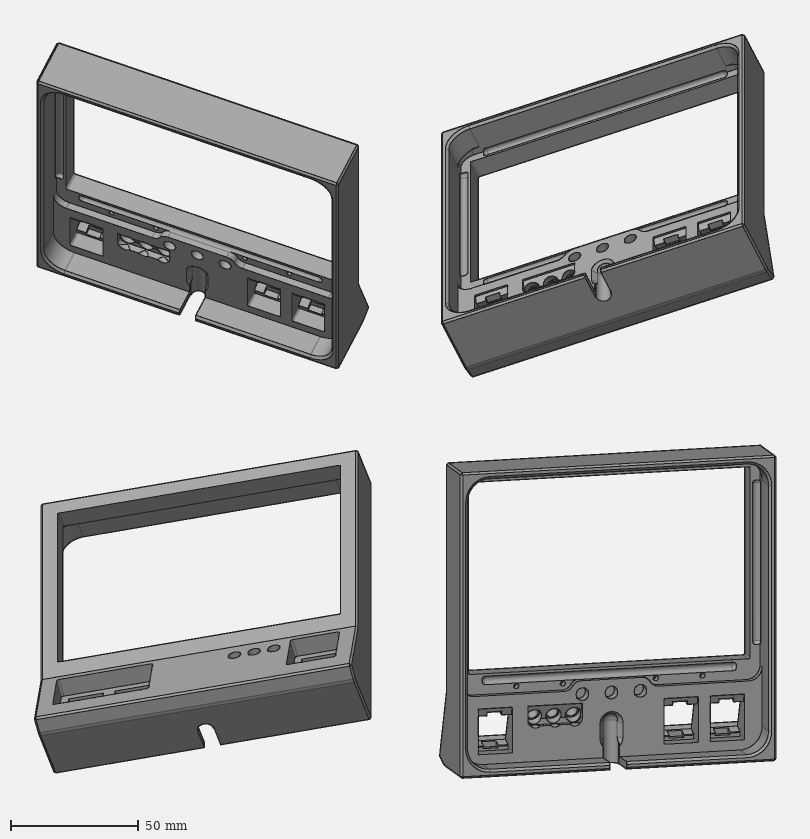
import cadquery as cq
import math

WIDTH = 129.0
HEIGHT = 122.74
DEPTH = 31.8
BACK_Y = 21.7
EDGE_CHAMFER = 0.8

TILT = 20.0
SLOPE_TOP_Z = 31.1
SIN_TILT = math.sin(math.radians(TILT))
COS_TILT = math.cos(math.radians(TILT))

WALL = 3.0
RIM_CHAMFER = 1.0
RIM_TAPER = 45.0
CAVITY_RADIUS = 9.0
CAVITY_WIDTH = WIDTH - 2 * WALL
CAVITY_TOP_Z = HEIGHT - WALL
LOWER_FLOOR_Y = 10.5
UPPER_FLOOR_Y = 13.5
STEP_Z = 30.5
STEP_CORNER_RADIUS = 5.5
RAISED_Z = 34.4
RAISED_MIDDLE_X = 15.9
RAISED_CURVE_ANGLE = 60.0

WINDOW_WIDTH = 115.0
WINDOW_BOTTOM_Z = 38.8
WINDOW_TOP_Z = 115.9
WINDOW_RADIUS = 0.6
WINDOW_MID_Z = (WINDOW_BOTTOM_Z + WINDOW_TOP_Z) / 2

GROOVE_DIAMETER = 3.4
GROOVE_END_RADIUS = 1.3
GROOVE_OFFSET = 2.75
HORIZONTAL_GROOVE_LENGTH = 103.8
VERTICAL_GROOVE_LENGTH = 66.0

PIN_DIAMETER = 2.0
PIN_DEPTH = 4.0
PIN_Z = 33.1
PIN_SPACING = 19.0
BUTTON_DIAMETER = 5.1
BUTTON_DEPTH = 5.0
BUTTON_Z = 29.0
BUTTON_SPACING = 11.85

JACK_CENTRES_X = (-47.4, 28.5, 47.4)
JACK_WIDTH = 14.0
JACK_BOTTOM_Z = 7.0
JACK_TOP_Z = 25.3
JACK_POCKET_END_Y = 17.3
JACK_CORNER_RADIUS = 0.5
JACK_WALL = 4.15
JACK_WINDOW_TOP = 5.3
JACK_WINDOW_BOTTOM = 19.2
CATCH_WIDTH = 6.0
CATCH_BOTTOM_Z = 7.9
CATCH_TOP_Z = 23.7
UPPER_CATCH_END_Y = 14.7
LOWER_CATCH_END_Y = 20.2

RECESS_SPANS_X = ((-57.4, -37.4), (18.6, 57.6))
RECESS_TOP = 2.3
RECESS_BOTTOM = 21.9
RECESS_DEPTH = 7.7
RECESS_RADIUS = 1.0

LAMP_CENTRES_X = (-31.0, -23.0, -15.0)
LAMP_DISTANCE = 6.85
LAMP_DIAMETER = 5.0
LAMP_FLANGE_DIAMETER = 6.2
LAMP_FLANGE_SEAT = 8.9
LAMP_SHOULDER = 11.85
LAMP_BORE_REACH = 20.0
LAMP_POCKET_RADIUS = 2.3
LAMP_POCKET_TOP_Z = 25.3
LAMP_POCKET_BOTTOM_Z = 17.2
LAMP_POCKET_END_Y = 13.3

SLOT_WIDTH = 6.7
CHANNEL_RADIUS = 3.1
CHANNEL_Y = 11.5
CHANNEL_TOP_Z = 17.2
MOUTH_WIDTH = 9.3
MOUTH_TOP_Z = 21.3
MOUTH_BOTTOM_Z = 6.0
MOUTH_DEPTH = 2.1
MOUTH_TAPER = 40.0
SLOT_CHAMFER = 0.5

SLOPE_PLANE = cq.Plane(
    origin=(0, BACK_Y, SLOPE_TOP_Z),
    xDir=(-1, 0, 0),
    normal=(0, COS_TILT, SIN_TILT),
)


def box(x_min, x_max, y_min, y_max, z_min, z_max):
    """Box given by its limits along X, Y and Z."""
    block = cq.Workplane("XY").box(x_max - x_min, y_max - y_min, z_max - z_min, centered=False)
    return block.translate((x_min, y_min, z_min))


def front_sketch(y):
    """Workplane at depth y facing the open front: local x = X, local y = Z, extrusion toward -Y."""
    return cq.Workplane("XZ", origin=(0, y, 0))


def slope_box(x_min, x_max, top, bottom, shallow, deep):
    """Box aligned with the slope: distances down the slope and depths below it."""
    centre = ((x_min + x_max) / -2, -(top + bottom) / 2)
    plane = cq.Workplane(SLOPE_PLANE).workplane(offset=-deep)
    return plane.center(*centre).rect(x_max - x_min, bottom - top).extrude(deep - shallow)


def slope_cylinder(x, distance, diameter, shallow, deep):
    """Cylinder square to the slope, between two depths below it."""
    plane = cq.Workplane(SLOPE_PLANE).workplane(offset=-deep)
    return plane.center(-x, -distance).circle(diameter / 2).extrude(deep - shallow)


def make_body():
    """Side profile extruded across the width; all edges but the inner bend are chamfered."""
    corner_y = DEPTH + EDGE_CHAMFER * SIN_TILT
    corner_z = SLOPE_TOP_Z - (corner_y - BACK_Y) * COS_TILT / SIN_TILT
    heel_y = corner_y - corner_z * COS_TILT / SIN_TILT
    profile = [
        (0, 0),
        (heel_y, 0),
        (corner_y, corner_z),
        (BACK_Y, SLOPE_TOP_Z),
        (BACK_Y, HEIGHT),
        (0, HEIGHT),
    ]
    body = cq.Workplane("YZ").polyline(profile).close().extrude(WIDTH / 2, both=True)
    inner_bend = cq.selectors.BoxSelector(
        (-WIDTH, BACK_Y - EDGE_CHAMFER, SLOPE_TOP_Z - EDGE_CHAMFER),
        (WIDTH, BACK_Y + EDGE_CHAMFER, SLOPE_TOP_Z + EDGE_CHAMFER),
    )
    bend_edge = body.edges("|X").edges(inner_bend).val()
    outer_edges = [edge for edge in body.edges().vals() if not edge.isSame(bend_edge)]
    return body.newObject(outer_edges).chamfer(EDGE_CHAMFER)


def rounded_opening(width, bottom, top, radius, y, length):
    """Round-cornered block reaching from depth y toward the front."""
    sketch = front_sketch(y).center(0, (bottom + top) / 2).rect(width, top - bottom)
    return sketch.extrude(length).edges("|Y").fillet(radius)


def make_cavity():
    """Lower cavity, chamfered rim and the deeper area above the step."""
    cavity = rounded_opening(
        CAVITY_WIDTH, WALL, CAVITY_TOP_Z, CAVITY_RADIUS, LOWER_FLOOR_Y, LOWER_FLOOR_Y
    )
    rim_outline = (
        cq.Sketch()
        .rect(CAVITY_WIDTH + 2 * RIM_CHAMFER, CAVITY_TOP_Z - WALL + 2 * RIM_CHAMFER)
        .vertices()
        .fillet(CAVITY_RADIUS + RIM_CHAMFER)
    )
    rim = front_sketch(0).center(0, HEIGHT / 2).placeSketch(rim_outline)
    rim = rim.extrude(-RIM_CHAMFER, taper=RIM_TAPER)
    return cavity.union(rim).union(make_upper_floor())


def make_upper_floor():
    """Deeper area behind the window, stepped over the button holes with S-curves."""
    step_depth = UPPER_FLOOR_Y - LOWER_FLOOR_Y
    area = rounded_opening(
        CAVITY_WIDTH, STEP_Z, CAVITY_TOP_Z, STEP_CORNER_RADIUS, UPPER_FLOOR_Y, step_depth
    )
    angle = math.radians(RAISED_CURVE_ANGLE)
    rise = RAISED_Z - STEP_Z
    middle_z = STEP_Z + rise / 2
    radius = rise / 2 / (1 - math.cos(angle))
    run = radius * math.sin(angle)
    bottom_x = RAISED_MIDDLE_X + run
    top_x = RAISED_MIDDLE_X - run
    half_run = radius * math.sin(angle / 2)
    half_rise = radius * (1 - math.cos(angle / 2))
    lower_mid = (bottom_x - half_run, STEP_Z + half_rise)
    upper_mid = (top_x + half_run, RAISED_Z - half_rise)
    raised = (
        front_sketch(UPPER_FLOOR_Y)
        .moveTo(-bottom_x, STEP_Z)
        .threePointArc((-lower_mid[0], lower_mid[1]), (-RAISED_MIDDLE_X, middle_z))
        .threePointArc((-upper_mid[0], upper_mid[1]), (-top_x, RAISED_Z))
        .lineTo(top_x, RAISED_Z)
        .threePointArc(upper_mid, (RAISED_MIDDLE_X, middle_z))
        .threePointArc(lower_mid, (bottom_x, STEP_Z))
        .close()
        .extrude(step_depth)
    )
    return area.cut(raised)


def groove_bar(plane, length):
    """Round-ended bar centred on the origin, along the normal of the named plane."""
    bar = cq.Workplane(plane).workplane(offset=-length / 2).circle(GROOVE_DIAMETER / 2).extrude(length)
    return bar.edges("%CIRCLE").fillet(GROOVE_END_RADIUS)


def make_grooves():
    """Four round-ended grooves in the upper floor, one along each window side."""
    horizontal = groove_bar("YZ", HORIZONTAL_GROOVE_LENGTH)
    vertical = groove_bar("XY", VERTICAL_GROOVE_LENGTH)
    side_x = WINDOW_WIDTH / 2 + GROOVE_OFFSET
    grooves = cq.Workplane("XY")
    for z in (WINDOW_BOTTOM_Z - GROOVE_OFFSET, WINDOW_TOP_Z + GROOVE_OFFSET):
        grooves = grooves.union(horizontal.translate((0, UPPER_FLOOR_Y, z)))
    for x in (-side_x, side_x):
        grooves = grooves.union(vertical.translate((x, UPPER_FLOOR_Y, WINDOW_MID_Z)))
    return grooves


def make_blind_holes():
    """Four pin holes in the upper floor and three button holes in the lower floor."""
    pins = [(side * count * PIN_SPACING, PIN_Z) for side in (-1, 1) for count in (1, 2)]
    buttons = [(count * BUTTON_SPACING, BUTTON_Z) for count in (-1, 0, 1)]
    pin_holes = (
        front_sketch(UPPER_FLOOR_Y + PIN_DEPTH)
        .pushPoints(pins)
        .circle(PIN_DIAMETER / 2)
        .extrude(PIN_DEPTH)
    )
    button_holes = (
        front_sketch(LOWER_FLOOR_Y + BUTTON_DEPTH)
        .pushPoints(buttons)
        .circle(BUTTON_DIAMETER / 2)
        .extrude(BUTTON_DEPTH)
    )
    return pin_holes.union(button_holes)


def below_slope(pocket, depth):
    """Part of a pocket that lies deeper below the slope than the given depth."""
    reach = 2 * HEIGHT
    keep = slope_box(-WIDTH, WIDTH, -reach, reach, depth, depth + reach)
    return pocket.intersect(keep)


def make_jack(x):
    """Pocket, sloped window and the two catch notches of one jack."""
    shoulder = RECESS_DEPTH + JACK_WALL
    left = x - JACK_WIDTH / 2
    right = x + JACK_WIDTH / 2
    pocket = box(left, right, LOWER_FLOOR_Y, JACK_POCKET_END_Y, JACK_BOTTOM_Z, JACK_TOP_Z)
    pocket = pocket.edges("|Y").fillet(JACK_CORNER_RADIUS)
    pocket = below_slope(pocket, shoulder)
    window = slope_box(left, right, JACK_WINDOW_TOP, JACK_WINDOW_BOTTOM, RECESS_DEPTH, shoulder)
    catch_left = x - CATCH_WIDTH / 2
    catch_right = x + CATCH_WIDTH / 2
    catch_mid_z = (CATCH_BOTTOM_Z + CATCH_TOP_Z) / 2
    upper = box(
        catch_left, catch_right, LOWER_FLOOR_Y, UPPER_CATCH_END_Y, catch_mid_z, CATCH_TOP_Z
    )
    lower = box(
        catch_left, catch_right, LOWER_FLOOR_Y, LOWER_CATCH_END_Y, CATCH_BOTTOM_Z, catch_mid_z
    )
    return pocket.union(window).union(upper).union(lower)


def make_recess(x_min, x_max):
    """Round-cornered recess in the slope around one or more jacks."""
    recess = slope_box(x_min, x_max, RECESS_TOP, RECESS_BOTTOM, 0, RECESS_DEPTH)
    outward = cq.selectors.ParallelDirSelector(SLOPE_PLANE.zDir)
    return recess.edges(outward).fillet(RECESS_RADIUS)


def make_lamps():
    """Shared pocket with a sloped end, flange seats and lamp holes through the slope."""
    pocket = box(
        LAMP_CENTRES_X[0] - LAMP_FLANGE_DIAMETER / 2,
        LAMP_CENTRES_X[-1] + LAMP_FLANGE_DIAMETER / 2,
        LOWER_FLOOR_Y,
        LAMP_POCKET_END_Y,
        LAMP_POCKET_BOTTOM_Z,
        LAMP_POCKET_TOP_Z,
    )
    pocket = pocket.edges("|Y and <Z").fillet(LAMP_POCKET_RADIUS)
    lamps = below_slope(pocket, LAMP_SHOULDER)
    for x in LAMP_CENTRES_X:
        flange = slope_cylinder(
            x, LAMP_DISTANCE, LAMP_FLANGE_DIAMETER, LAMP_FLANGE_SEAT, LAMP_BORE_REACH
        )
        hole = slope_cylinder(x, LAMP_DISTANCE, LAMP_DIAMETER, 0, LAMP_BORE_REACH)
        lamps = lamps.union(flange).union(hole)
    return lamps


def make_cable_slot():
    """Slot through the bottom wall, half-round channel with a domed top and a flared mouth."""
    half = SLOT_WIDTH / 2
    slot = box(-half, half, 0, CHANNEL_Y, 0, CHANNEL_TOP_Z)
    wide_half = half + SLOT_CHAMFER
    lead_in = [
        (-wide_half, 0),
        (wide_half, 0),
        (half, SLOT_CHAMFER),
        (-half, SLOT_CHAMFER),
    ]
    slot = slot.union(cq.Workplane("XY").polyline(lead_in).close().extrude(WALL))
    channel = cq.Workplane("XY").circle(CHANNEL_RADIUS).extrude(CHANNEL_TOP_Z)
    dome = cq.Workplane("XY").sphere(CHANNEL_RADIUS).translate((0, 0, CHANNEL_TOP_Z))
    channel = channel.union(dome).translate((0, CHANNEL_Y, 0))
    mouth = (
        front_sketch(LOWER_FLOOR_Y)
        .center(0, (MOUTH_TOP_Z + MOUTH_BOTTOM_Z) / 2)
        .slot2D(MOUTH_TOP_Z - MOUTH_BOTTOM_Z, MOUTH_WIDTH, 90)
        .extrude(-MOUTH_DEPTH, taper=MOUTH_TAPER)
    )
    return slot.union(channel).union(mouth)


def make_window():
    """Display window through the back."""
    half = WINDOW_WIDTH / 2
    window = box(-half, half, UPPER_FLOOR_Y, DEPTH, WINDOW_BOTTOM_Z, WINDOW_TOP_Z)
    return window.edges("|Y").fillet(WINDOW_RADIUS)


result = make_body().cut(make_cavity()).cut(make_window()).cut(make_grooves())
result = result.cut(make_blind_holes()).cut(make_lamps()).cut(make_cable_slot())
for jack_x in JACK_CENTRES_X:
    result = result.cut(make_jack(jack_x))
for span in RECESS_SPANS_X:
    result = result.cut(make_recess(*span))